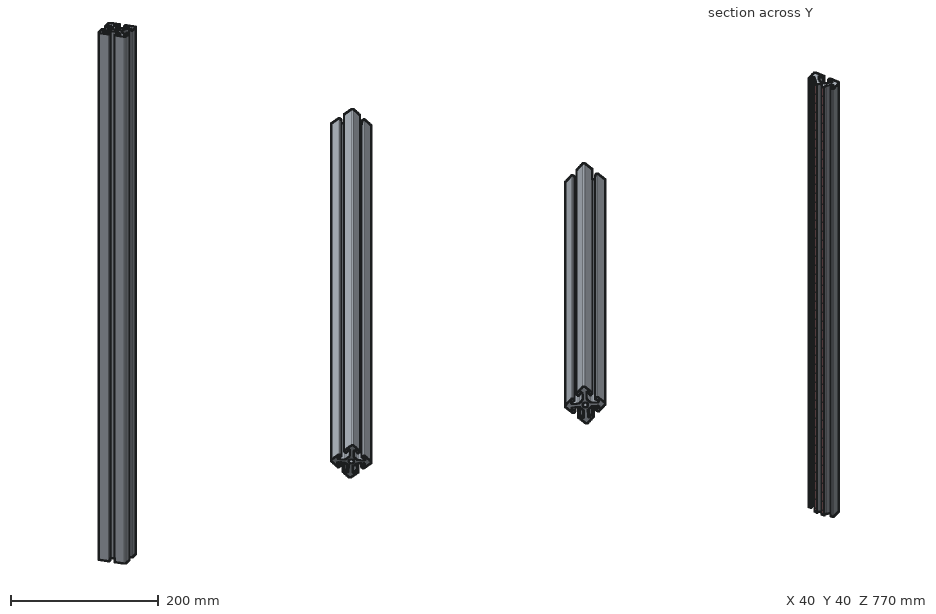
import cadquery as cq
import math

length = 770.0
side = 40.0
corner_radius = 2.0
bore_diameter = 7.0

half_mouth = 4.0
mouth_radius = 0.9
lip_tip_thickness = 5.0
lip_root_thickness = 3.5
cavity_width = 21.0
slot_depth = 12.0
floor_fillet = 3.0
web_thickness = 5.5

half_side = side / 2
half_cavity = cavity_width / 2
lip_tip_y = half_side - lip_tip_thickness
lip_root_y = half_side - lip_root_thickness
floor_y = half_side - slot_depth
web_offset = web_thickness / math.sqrt(2)
half_floor = floor_y - web_offset
wall_end_y = half_cavity + web_offset


def make_bar():
    bar = cq.Workplane("XY").box(side, side, length)
    return bar.edges("|Z").fillet(corner_radius)


def make_slot():
    """T-shaped cutter for the +Y side, with a mouth that flares out to the face."""
    flare = half_mouth + mouth_radius
    flare_y = half_side - mouth_radius
    slot = (
        cq.Workplane("XY")
        .workplane(offset=-length / 2)
        .moveTo(-flare, half_side)
        .radiusArc((-half_mouth, flare_y), mouth_radius)
        .lineTo(-half_mouth, lip_tip_y)
        .lineTo(-half_cavity, lip_root_y)
        .lineTo(-half_cavity, wall_end_y)
        .lineTo(-half_floor, floor_y)
        .lineTo(half_floor, floor_y)
        .lineTo(half_cavity, wall_end_y)
        .lineTo(half_cavity, lip_root_y)
        .lineTo(half_mouth, lip_tip_y)
        .lineTo(half_mouth, flare_y)
        .radiusArc((flare, half_side), mouth_radius)
        .close()
        .extrude(length)
    )
    return slot.edges("|Z and <Y").fillet(floor_fillet)


result = make_bar()
slot = make_slot()
for angle in (0, 90, 180, 270):
    result = result.cut(slot.rotate((0, 0, 0), (0, 0, 1), angle))

bore = cq.Workplane("XY").circle(bore_diameter / 2).extrude(length / 2, both=True)
result = result.cut(bore)